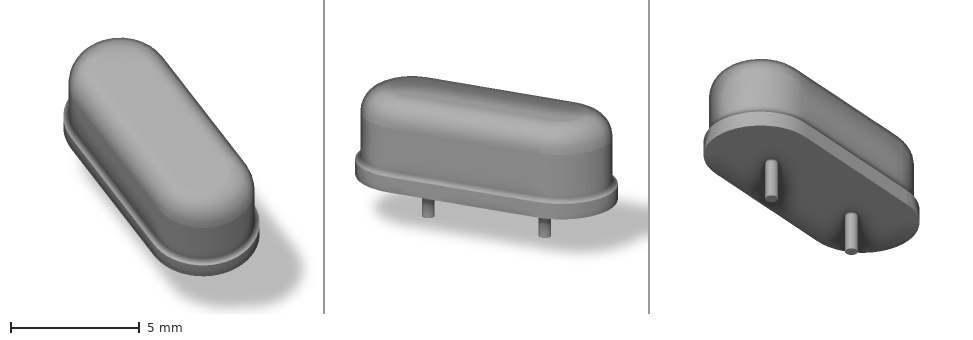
import cadquery as cq

flange_length = 10.79
flange_width = 4.41
flange_height = 0.64

flange_step = 0.2
can_length = flange_length - 2 * flange_step
can_width = flange_width - 2 * flange_step
total_height = 5.24
pin_length = 1.64
can_top = total_height - pin_length
top_fillet_radius = 1.0
root_fillet_radius = 0.19

pin_diameter = 0.5
pin_spacing = 5.0


def stadium(length, width, height):
    """Solid with straight sides along X and semicircular ends, resting on Z = 0."""
    return cq.Workplane("XY").slot2D(length, width).extrude(height)


flange = stadium(flange_length, flange_width, flange_height)
can = stadium(can_length, can_width, can_top).faces(">Z").edges().fillet(top_fillet_radius)
housing = flange.union(can)

root_corner = (0, -can_width / 2, flange_height)
housing = housing.edges(cq.selectors.NearestToPointSelector(root_corner)).fillet(root_fillet_radius)

pins = (
    cq.Workplane("XY")
    .pushPoints([(-pin_spacing / 2, 0), (pin_spacing / 2, 0)])
    .circle(pin_diameter / 2)
    .extrude(-pin_length)
)

result = housing.union(pins)